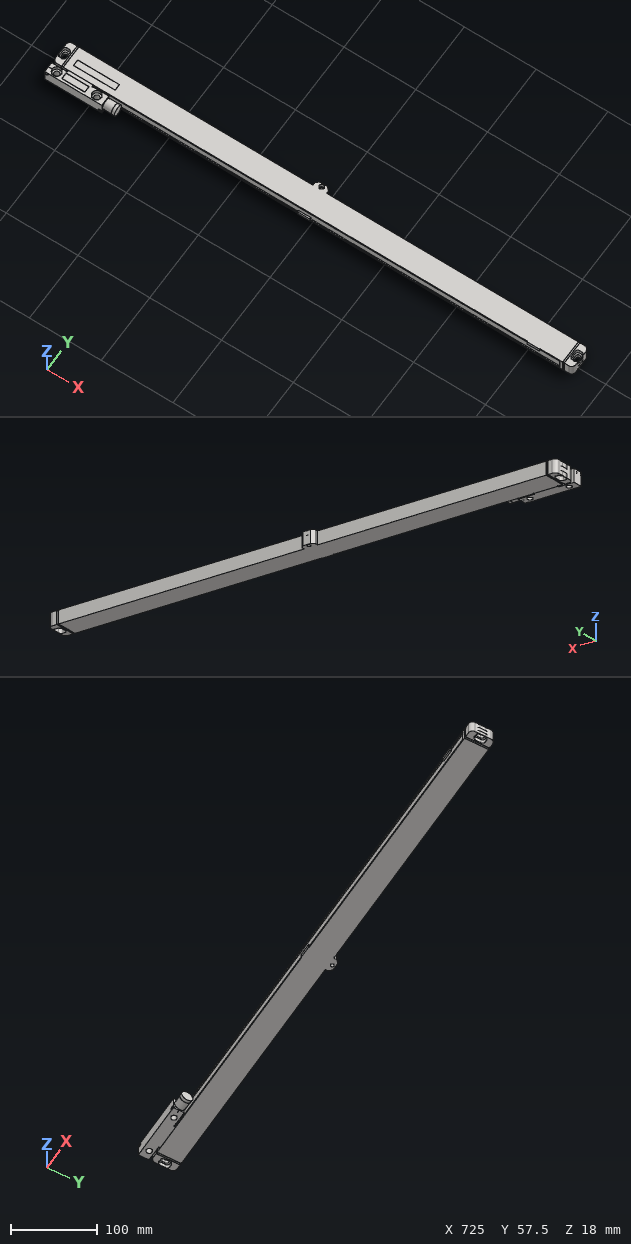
import cadquery as cq


length = 725.0
height = 18.0
mid_height = height / 2
rail_width = 32.5
rail_mid_y = rail_width / 2

cap_length = 12.0
cap_corner_radius = 6.0
seam_width = 2.0
seam_depth = 0.35
cap_hole_offset = 5.45
cap_hole_length = 10.0
cap_hole_width = 6.5
cap_counterbore_length = 14.5
cap_counterbore_width = 10.0
cap_counterbore_radius = 3.5
cap_web = 6.0

window_end_margin = 19.0
window_edge_margin = 2.0
window_depth = 1.5
tab_length = 17.5
upper_tab_x = 670.0
tab_height = 5.0
tab_proud = 1.0

label_start = 23.0
label_length = 58.0
label_front = 9.0
label_width = 9.0
label_depth = 0.35

bracket_x = 350.0
bracket_length = 19.5
bracket_reach = 8.0
bracket_chamfer = 4.0
bracket_hole_offset = 3.5
bracket_hole_diameter = 4.0
bracket_counterbore_diameter = 6.5
bracket_counterbore_depth = 6.0

head_length = 80.0
head_front = -17.0
head_clearance = 2.0
head_depth = -head_front - head_clearance
head_hole_y = -9.0
head_hole_inset = 11.5
head_hole_spacing = 56.0
head_hole_diameter = 7.0
head_counterbore_diameter = 12.0
head_counterbore_depth = 6.0
neck_start = 22.0
neck_length = 35.0
pocket_length = 32.0
pocket_width = 9.0
pocket_depth = 1.0
front_hole_inset = 3.0
front_hole_diameter = 4.0
front_hole_depth = 8.0

connector_y = -8.0
connector_diameter = 14.5
connector_length = 12.0
collar_diameter = 15.0
collar_length = 4.0


def block(x, y, z, x_size, y_size, z_size):
    """Box with its lowest corner at (x, y, z)."""
    return cq.Workplane("XY").box(x_size, y_size, z_size, centered=False).translate((x, y, z))


def cylinder_up(x, y, z, diameter, cylinder_height):
    """Upright cylinder standing on (x, y, z)."""
    return cq.Workplane("XY", origin=(x, y, z)).circle(diameter / 2).extrude(cylinder_height)


def cylinder_along_x(x, y, z, diameter, cylinder_length):
    """Cylinder pointing to +X from (x, y, z)."""
    return cq.Workplane("YZ", origin=(x, y, z)).circle(diameter / 2).extrude(cylinder_length)


def cylinder_along_y(x, y, z, diameter, cylinder_length):
    """Cylinder pointing to +Y from (x, y, z)."""
    return cq.Workplane("XZ", origin=(x, y, z)).circle(diameter / 2).extrude(-cylinder_length)


def cap_hole(x):
    """Through slot, long along Y, with an oblong counterbore from the top and the underside."""
    counterbore_depth = (height - cap_web) / 2
    counterbore = block(
        x - cap_counterbore_width / 2, rail_mid_y - cap_counterbore_length / 2, 0,
        cap_counterbore_width, cap_counterbore_length, counterbore_depth,
    ).edges("|Z").fillet(cap_counterbore_radius)
    hole = (
        cq.Workplane("XY", origin=(x, rail_mid_y, 0))
        .slot2D(cap_hole_length, cap_hole_width, 90)
        .extrude(height)
    )
    for z in (0, height - counterbore_depth):
        hole = hole.union(counterbore.translate((0, 0, z)))
    return hole


def seam(x):
    """Shallow groove round the housing between the rail and an end cap."""
    outer = block(x, 0, 0, seam_width, rail_width, height)
    core = block(
        x, seam_depth, seam_depth, seam_width, rail_width - 2 * seam_depth, height - 2 * seam_depth
    )
    return outer.cut(core)


def bracket():
    """Support bracket with chamfered outer corners and a counterbored hole."""
    plate = block(bracket_x - bracket_length / 2, rail_width, 0, bracket_length, bracket_reach, height)
    plate = plate.edges("|Z and >Y").chamfer(bracket_chamfer)
    hole_y = rail_width + bracket_hole_offset
    counterbore_floor = height - bracket_counterbore_depth
    hole = cylinder_up(bracket_x, hole_y, 0, bracket_hole_diameter, height)
    counterbore = cylinder_up(
        bracket_x, hole_y, counterbore_floor, bracket_counterbore_diameter, bracket_counterbore_depth
    )
    return plate.cut(hole).cut(counterbore)


def make_scale():
    body = block(0, 0, 0, length, rail_width, height).edges("|Z").fillet(cap_corner_radius)

    window = block(
        window_end_margin, 0, window_edge_margin,
        length - 2 * window_end_margin, window_depth, height - 2 * window_edge_margin,
    )
    label = block(
        label_start, label_front, height - label_depth, label_length, label_width, label_depth
    )
    body = body.cut(window).cut(label)

    for x in (cap_length, length - cap_length - seam_width):
        body = body.cut(seam(x))
    for x in (cap_hole_offset, length - cap_hole_offset):
        body = body.cut(cap_hole(x))

    for x, z in ((bracket_x, 0), (upper_tab_x, height - tab_height)):
        body = body.union(
            block(x - tab_length / 2, -tab_proud, z, tab_length, tab_proud + window_depth, tab_height)
        )
    return body.union(bracket())


def make_head():
    head = block(0, head_front, 0, head_length, head_depth, height)
    neck = block(neck_start, -head_clearance, 0, neck_length, head_clearance, height)
    head = head.union(neck)

    for x in (head_hole_inset, head_hole_inset + head_hole_spacing):
        floor = height - head_counterbore_depth
        head = head.cut(cylinder_up(x, head_hole_y, 0, head_hole_diameter, height))
        head = head.cut(
            cylinder_up(x, head_hole_y, floor, head_counterbore_diameter, head_counterbore_depth)
        )

    pocket = block(
        neck_start, head_hole_y - pocket_width / 2, height - pocket_depth,
        pocket_length, pocket_width, pocket_depth,
    )
    head = head.cut(pocket)

    for x, z in (
        (front_hole_inset, height - front_hole_inset),
        (head_length - front_hole_inset, front_hole_inset),
    ):
        head = head.cut(cylinder_along_y(x, head_front, z, front_hole_diameter, front_hole_depth))

    connector = cylinder_along_x(
        head_length, connector_y, mid_height, connector_diameter, connector_length
    )
    collar = cylinder_along_x(
        head_length + connector_length, connector_y, mid_height, collar_diameter, collar_length
    )
    return head.union(connector).union(collar)


scale = make_scale()
head = make_head()

result = cq.Compound.makeCompound([scale.val(), head.val()])